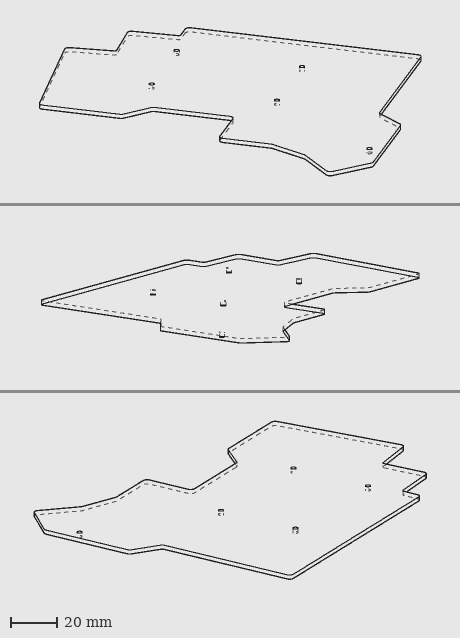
import cadquery as cq
import math

LENGTH = 163.5
WIDTH = 132.85
THICKNESS = 2.0

CORNER_RADIUS = 2.0
STEP_RADIUS = 1.0

KEY_PITCH = 19.05
HOLE_DIAMETER = 2.2

BLOCK_LEFT = 44.0
BLOCK_RIGHT = 150.8

INNER_TILT = 3.0
OUTER_TILT = 6.0
INNER_CORNER = (20.9, 121.9)
OUTER_CORNER_Y = 97.0

LOWER_LEFT_EDGE_Y = 33.85
RAMP_BOTTOM_X = 44.1
RAMP_TOP_X = 54.7
MIDDLE_EDGE_Y = 45.3
NOTCH_RIGHT = 91.6
THUMB_EDGE_Y = 21.5

POINT_X = 148.0
POINT_LEFT_X = 132.7
POINT_SLOPE = 45.0
THUMB_SLOPE = 22.5
SHOULDER_INNER_Y = 67.1
SHOULDER_OUTER_Y = 58.0

HOLE_SPACING_X = 3 * KEY_PITCH
HOLE_SPACING_Y = 2 * KEY_PITCH
LEFT_HOLE = (47.1, 69.4)
RIGHT_HOLE = (LEFT_HOLE[0] + HOLE_SPACING_X, 68.0)
THUMB_HOLE = (157.7, 29.0)


def rise(run, angle):
    """Offset across a line that is tilted by angle degrees over the given run."""
    return run * math.tan(math.radians(angle))


def outline_corners():
    """Sharp corners of the outline, clockwise, and the two inside corners of the side steps."""
    half_angle = math.radians(45 - OUTER_TILT)
    outer_x = CORNER_RADIUS * (1 - math.sqrt(2) * math.cos(half_angle))
    outer_corner = (outer_x, OUTER_CORNER_Y)

    outer_slope = rise(1, OUTER_TILT)
    inner_slope = rise(1, INNER_TILT)
    side_x_at_outer = INNER_CORNER[0] + (INNER_CORNER[1] - OUTER_CORNER_Y) * inner_slope
    step_run = (side_x_at_outer - outer_x) / (1 + outer_slope * inner_slope)
    outer_step = (outer_x + step_run, OUTER_CORNER_Y + step_run * outer_slope)

    inner_step = (BLOCK_LEFT, INNER_CORNER[1] + rise(BLOCK_LEFT - INNER_CORNER[0], INNER_TILT))

    bottom_left_x = outer_x + rise(OUTER_CORNER_Y - LOWER_LEFT_EDGE_Y, OUTER_TILT)

    point_y = -CORNER_RADIUS * (math.sqrt(2) - 1)
    point_left_y = point_y + rise(POINT_X - POINT_LEFT_X, POINT_SLOPE)
    point_right_y = point_y + rise(LENGTH - POINT_X, POINT_SLOPE)
    thumb_edge_end_x = POINT_LEFT_X - (THUMB_EDGE_Y - point_left_y) / rise(1, THUMB_SLOPE)

    corners = [
        outer_corner,
        outer_step,
        INNER_CORNER,
        inner_step,
        (BLOCK_LEFT, WIDTH),
        (BLOCK_RIGHT, WIDTH),
        (BLOCK_RIGHT, SHOULDER_INNER_Y),
        (LENGTH, SHOULDER_OUTER_Y),
        (LENGTH, point_right_y),
        (POINT_X, point_y),
        (POINT_LEFT_X, point_left_y),
        (thumb_edge_end_x, THUMB_EDGE_Y),
        (NOTCH_RIGHT, THUMB_EDGE_Y),
        (NOTCH_RIGHT, MIDDLE_EDGE_Y),
        (RAMP_TOP_X, MIDDLE_EDGE_Y),
        (RAMP_BOTTOM_X, LOWER_LEFT_EDGE_Y),
        (bottom_left_x, LOWER_LEFT_EDGE_Y),
    ]
    return corners, [outer_step, inner_step]


def round_corners(body, points, radius):
    """Round the upright edges that stand on the given points."""
    middle_height = THICKNESS / 2
    for x, y in points:
        edge = cq.selectors.NearestToPointSelector((x, y, middle_height))
        body = body.edges("|Z").edges(edge).fillet(radius)
    return body


def make_plate():
    corners, step_corners = outline_corners()
    main_corners = [corner for corner in corners if corner not in step_corners]
    plate = cq.Workplane("XY").polyline(corners).close().extrude(THICKNESS)
    plate = round_corners(plate, main_corners, CORNER_RADIUS)
    return round_corners(plate, step_corners, STEP_RADIUS)


def hole_centers():
    """Two columns of two holes and one hole in the thumb cluster."""
    centers = [THUMB_HOLE]
    for x, y in (LEFT_HOLE, RIGHT_HOLE):
        centers.append((x, y))
        centers.append((x, y + HOLE_SPACING_Y))
    return centers


def make_holes():
    return cq.Workplane("XY").pushPoints(hole_centers()).circle(HOLE_DIAMETER / 2).extrude(THICKNESS)


result = make_plate().cut(make_holes())